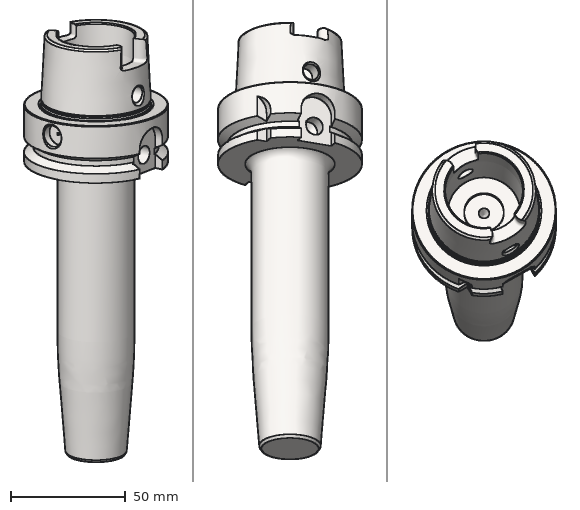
import cadquery as cq
import math


total_height = 191.9
flange_top = 160.0
flange_bottom = 134.0
neck_bottom = 129.1
blend_top = 56.5
blend_bottom = 33.0

body_radius = 16.9
nose_angle = math.radians(4.5)
nose_chamfer_width = 1.0
nose_chamfer_height = 1.3
neck_flare = 2.7

flange_radius = 31.5
flange_edge_chamfer = 0.4
groove_radius = 27.5
groove_floor_bottom = 140.5
groove_floor_top = 143.0
groove_flank_height = 2.3

shank_base_radius = 24.0
shank_slope = 0.05
shank_base = 162.3
relief_radius = 23.5
relief_outer_radius = 25.1
relief_depth = 0.8
rim_chamfer_width = 1.2
rim_chamfer_height = 0.8
bore_chamfer = 0.5
bore_radius = 16.9
bore_step = 178.5
bore_floor_radius = 15.7
bore_floor = 157.4
tube_seat_radius = 8.6
tube_seat_depth = 2.0
center_hole_radius = 2.3
center_hole_depth = 4.6

drive_slot_half_width = 6.1
drive_slot_corner = 3.8
drive_slot_corner_start = 17.0
drive_slot_fillet = 1.5
drive_slot_floors = {-1: 185.5, 1: 181.5}

keyway_radius = 8.0
keyway_center_height = 147.4
keyway_floor = 26.5
notch_floor = 20.0
notch_offset = 28.0
drill_radius = 4.0
drill_height = 142.0
drill_depth = 6.1
drill_point_angle = math.radians(118)

access_hole_radius = 3.6
access_hole_height = 168.9
access_hole_chamfer = 1.0
chip_hole_radius = 4.8
chip_hole_chamfer = 0.8
chip_hole_height = 153.1
chip_hole_depth = 4.6
chip_pip_radius = 0.5
chip_pip_depth = 1.0

overshoot = 3.8


def circle_along_x(radius, start, length, y=0.0, z=0.0):
    return cq.Workplane("YZ", origin=(start, y, z)).circle(radius).extrude(length)


def revolve_about_axis(profile):
    """Full turn about Z, with the seam turned to +Y so that it clears the holes."""
    return profile.revolve(360, (0, 0, 0), (0, 1, 0)).rotate((0, 0, 0), (0, 0, 1), 90)


def make_body():
    """Revolved outer shape from the nose up to the rim."""
    blend_radius = (blend_top - blend_bottom) / math.sin(nose_angle)
    blend_inset = blend_radius * (1 - math.cos(nose_angle))
    half_inset = blend_radius * (1 - math.cos(nose_angle / 2))
    half_drop = blend_radius * math.sin(nose_angle / 2)
    blend_end_radius = body_radius - blend_inset
    nose_radius = blend_end_radius - (blend_bottom - nose_chamfer_height) * math.tan(nose_angle)

    neck_height = flange_bottom - neck_bottom
    neck_radius = (neck_flare**2 + neck_height**2) / (2 * neck_flare)
    rim_radius = shank_base_radius - shank_slope * (total_height - shank_base)

    profile = (
        cq.Workplane("XZ")
        .moveTo(0, 0)
        .lineTo(nose_radius - nose_chamfer_width, 0)
        .lineTo(nose_radius, nose_chamfer_height)
        .lineTo(blend_end_radius, blend_bottom)
        .threePointArc((body_radius - half_inset, blend_top - half_drop), (body_radius, blend_top))
        .lineTo(body_radius, neck_bottom)
        .radiusArc((body_radius + neck_flare, flange_bottom), neck_radius)
        .lineTo(flange_radius, flange_bottom)
        .lineTo(flange_radius, groove_floor_bottom - groove_flank_height)
        .lineTo(groove_radius, groove_floor_bottom)
        .lineTo(groove_radius, groove_floor_top)
        .lineTo(flange_radius, groove_floor_top + groove_flank_height)
        .lineTo(flange_radius, flange_top - flange_edge_chamfer)
        .lineTo(flange_radius - flange_edge_chamfer, flange_top)
        .lineTo(relief_outer_radius, flange_top)
        .lineTo(relief_outer_radius - relief_depth, flange_top - relief_depth)
        .lineTo(shank_base_radius, flange_top - relief_depth)
        .lineTo(shank_base_radius, flange_top)
        .lineTo(relief_radius, flange_top + relief_depth)
        .lineTo(relief_radius, shank_base - relief_depth)
        .lineTo(shank_base_radius, shank_base)
        .lineTo(rim_radius, total_height - rim_chamfer_height)
        .lineTo(rim_radius - rim_chamfer_width, total_height)
        .lineTo(0, total_height)
        .close()
    )
    return revolve_about_axis(profile)


def make_bore():
    """Stepped cavity inside the shank, ending in a small conical centre hole."""
    seat_floor = bore_floor - tube_seat_depth
    profile = (
        cq.Workplane("XZ")
        .moveTo(0, total_height)
        .lineTo(bore_radius + bore_chamfer, total_height)
        .lineTo(bore_radius, total_height - bore_chamfer)
        .lineTo(bore_radius, bore_step)
        .lineTo(bore_floor_radius, bore_floor)
        .lineTo(tube_seat_radius, bore_floor)
        .lineTo(tube_seat_radius, seat_floor)
        .lineTo(center_hole_radius, seat_floor)
        .lineTo(0, seat_floor - center_hole_depth)
        .close()
    )
    return revolve_about_axis(profile)


def make_drive_slot(side):
    """Rim slot whose mouth flares outward in two arcs and whose floor is filleted."""
    corner_end = drive_slot_corner_start + drive_slot_corner
    flare_half_width = drive_slot_half_width + drive_slot_corner
    diagonal = drive_slot_corner * math.sqrt(0.5)
    mid_x = drive_slot_corner_start + diagonal
    mid_y = flare_half_width - diagonal
    outer_x = shank_base_radius + overshoot
    inner_x = bore_radius - overshoot
    floor = drive_slot_floors[side]
    slot = (
        cq.Workplane("XY", origin=(0, 0, floor))
        .moveTo(inner_x, -drive_slot_half_width)
        .lineTo(drive_slot_corner_start, -drive_slot_half_width)
        .threePointArc((mid_x, -mid_y), (corner_end, -flare_half_width))
        .lineTo(outer_x, -flare_half_width)
        .lineTo(outer_x, flare_half_width)
        .lineTo(corner_end, flare_half_width)
        .threePointArc((mid_x, mid_y), (drive_slot_corner_start, drive_slot_half_width))
        .lineTo(inner_x, drive_slot_half_width)
        .close()
        .extrude(total_height + overshoot - floor)
        .faces("<Z")
        .edges("not(<X or >X)")
        .fillet(drive_slot_fillet)
    )
    if side < 0:
        slot = slot.mirror("YZ")
    return slot


def make_keyway(floor, y_center):
    """Round-topped cut through the lower flange, with a flat floor facing -X."""
    reach = flange_radius + overshoot - floor
    leg_height = keyway_center_height - flange_bottom + overshoot
    arch = circle_along_x(keyway_radius, -floor - reach, reach, y_center, keyway_center_height)
    legs = cq.Workplane("XY").box(
        reach, 2 * keyway_radius, leg_height, centered=(False, True, False)
    )
    return arch.union(legs.translate((-floor - reach, y_center, keyway_center_height - leg_height)))


def make_keyway_drilling():
    """Blind drilling with a conical point, starting from a keyway floor."""
    point_depth = drill_radius / math.tan(drill_point_angle / 2)
    return (
        cq.Workplane("XZ", origin=(-keyway_floor, 0, drill_height))
        .lineTo(0, drill_radius)
        .lineTo(drill_depth, drill_radius)
        .lineTo(drill_depth + point_depth, 0)
        .close()
        .revolve(360, (0, 0, 0), (1, 0, 0))
    )


def make_mouth(radius, chamfer, surface_radius, height):
    """Cone along -Y that bevels a radial hole where it breaks a round surface."""
    reach = chamfer + overshoot
    return (
        cq.Workplane("XY", origin=(0, chamfer - surface_radius, height))
        .lineTo(radius, 0)
        .lineTo(radius + reach, -reach)
        .lineTo(0, -reach)
        .close()
        .revolve(360, (0, 0, 0), (0, 1, 0))
    )


def make_access_hole():
    """Cross hole along X through both shank walls, bevelled at each mouth."""
    reach = shank_base_radius + overshoot
    hole = circle_along_x(access_hole_radius, -reach, 2 * reach, z=access_hole_height)
    surface_radius = shank_base_radius - shank_slope * (access_hole_height - shank_base)
    mouth = make_mouth(access_hole_radius, access_hole_chamfer, surface_radius, access_hole_height)
    for angle in (-90, 90):
        hole = hole.union(mouth.rotate((0, 0, 0), (0, 0, 1), angle))
    return hole


def make_chip_hole():
    """Flat-bottomed blind hole on the -Y side with a chamfered mouth and a centre pip."""
    floor = flange_radius - chip_hole_depth

    def radial_disc(radius, start, length):
        return cq.Workplane("XZ", origin=(0, -start, chip_hole_height)).circle(radius).extrude(length)

    hole = radial_disc(chip_hole_radius, floor, chip_hole_depth + overshoot)
    pip = radial_disc(chip_pip_radius, floor - chip_pip_depth, chip_pip_depth)
    mouth = make_mouth(chip_hole_radius, chip_hole_chamfer, flange_radius, chip_hole_height)
    return hole.union(pip).union(mouth)


result = make_body().cut(make_bore())
for side in drive_slot_floors:
    result = result.cut(make_drive_slot(side))

keyway = make_keyway(keyway_floor, 0)
result = result.cut(keyway).cut(keyway.mirror("YZ"))
result = result.cut(make_keyway(notch_floor, notch_offset))
drilling = make_keyway_drilling()
result = result.cut(drilling).cut(drilling.mirror("YZ"))
result = result.cut(make_access_hole()).cut(make_chip_hole())